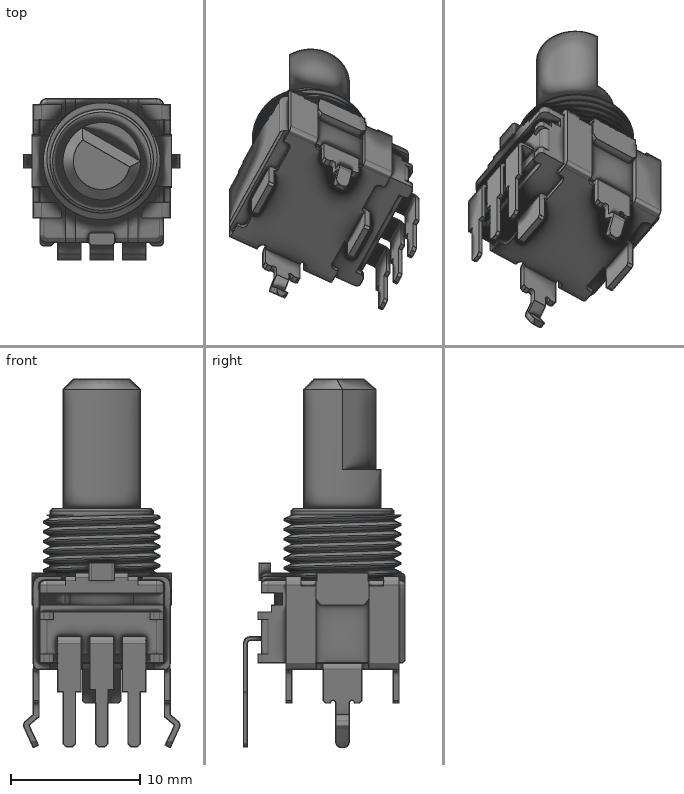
import math
import cadquery as cq


shaft_radius = 3.0
shaft_top = 22.45
shaft_flat_distance = 1.5
shaft_flat_length = 7.0
shaft_flat_angle = 60.0
shaft_chamfer = 0.8

shaft_reach = 10.0
bushing_top = shaft_top - shaft_reach
bushing_radius = 4.0
bushing_chamfer = 0.2
thread_radius = 4.52
thread_pitch = 0.75
thread_crest = 0.12
thread_root = 0.72
thread_embed = 0.1
plain_tip_length = 0.5
thread_top = bushing_top - plain_tip_length
thread_bottom = 7.0
thread_start = 6.52

housing_half_width = 4.78
housing_front = -6.28
housing_back = 4.84
housing_bottom = 0.5
housing_shelf = 4.45
housing_top = 4.98
housing_step_front = -5.5
corner_radius = 0.53
back_chamfer = 0.2
lip_front = -6.55
lip_width = 1.06
lip_depth = 0.8
lip_radius = 0.33
upper_lip_height = 0.6
lower_lip_height = 0.7
recess_depth = 0.5

spacer_radius = 5.25
spacer_flat_x = 2.44
spacer_corner = (-2.85, -4.9)
spacer_side_front = -1.8

cover_bottom = 5.92
cover_outer_top = 6.87
cover_middle_top = 7.2
cover_top = 7.45
cover_inner_half_width = 2.02
cover_middle_half_width = 2.79
cover_edge_radius = 0.33
side_tab_reach = 5.4
side_tab_half_width = 2.05
side_strip_half_width = 1.96
side_tab_bottom = housing_top
side_tab_corner = (0.45, 0.35)

nub_half_width = 1.0
nub_front = -6.47
nub_back = -5.55
nub_top = 8.22
nub_radius = 0.2

frame_half_width = 5.3
frame_half_depth = 4.38
frame_height = 7.2
frame_thickness = 0.46
frame_top_radius = 0.65
frame_bottom_radius = 0.44
frame_opening_half_width = 3.12
frame_window_half_depth = 3.19
frame_window_bottom = 6.44
frame_tab_chamfer = (0.4, 0.6)
relief_depth = 0.7
front_relief_half_width = 4.03
relief_radius = 0.4

leg_bottom = -2.6
leg_root_length = 1.4
leg_half_width = 1.5
leg_chamfer = 0.2
snap_half_width = 0.53
snap_bottom = -6.05
snap_bend_top = -3.5
snap_bend_offset = 0.15
snap_kink_start = (5.89, -4.0)
snap_kink_peak = (6.04, -4.24)
snap_kink_end = (6.0, -4.52)
snap_kink_inner = (5.63, -4.32)
snap_tip_run = 0.4
snap_tip_rise = 0.2
snap_tip_radius = 0.48
leg_notch_radius = 0.2

terminal_spacing = 2.5
terminal_thickness = 0.3
terminal_width = 1.82
terminal_pin_width = 0.96
terminal_top = 2.54
terminal_front = -7.66
terminal_bend_radius = 0.55
terminal_bottom = -6.0
outer_shoulder = -1.73
middle_shoulder = -1.55
terminal_tip_chamfer = 0.25


def block(x0, x1, y0, y1, z0, z1):
    """Axis-aligned box between two opposite corners."""
    return cq.Workplane("XY").box(x1 - x0, y1 - y0, z1 - z0, centered=False).translate((x0, y0, z0))


def both_sides(solid):
    """The solid together with its mirror image across X = 0."""
    return solid.union(solid.mirror("YZ"))


def make_shaft():
    flat_bottom = shaft_top - shaft_flat_length
    base_height = flat_bottom - cover_bottom
    base = cq.Workplane("XY").workplane(offset=cover_bottom).circle(shaft_radius).extrude(base_height)
    d_end = cq.Workplane("XY").workplane(offset=flat_bottom).circle(shaft_radius).extrude(shaft_flat_length)
    removed = block(shaft_flat_distance, shaft_radius, -shaft_radius, shaft_radius, flat_bottom, shaft_top)
    d_end = d_end.cut(removed.rotate((0, 0, 0), (0, 0, 1), shaft_flat_angle))
    d_end = d_end.faces(">Z").chamfer(shaft_chamfer)
    return base.union(d_end)


def make_bushing():
    height = bushing_top - cover_bottom
    core = cq.Workplane("XY").workplane(offset=cover_bottom).circle(bushing_radius).extrude(height)
    core = core.faces(">Z").chamfer(bushing_chamfer)
    helix_height = thread_top + thread_pitch - thread_start
    helix = cq.Wire.makeHelix(thread_pitch, helix_height, bushing_radius)
    ridge = (
        cq.Workplane("XZ")
        .moveTo(bushing_radius - thread_embed, -thread_root / 2)
        .lineTo(thread_radius, -thread_crest / 2)
        .lineTo(thread_radius, thread_crest / 2)
        .lineTo(bushing_radius - thread_embed, thread_root / 2)
        .close()
        .sweep(cq.Workplane(obj=helix), isFrenet=True)
        .translate((0, 0, thread_start))
    )
    reach = 2 * thread_radius
    ridge = ridge.intersect(block(-reach, reach, -reach, reach, thread_bottom, thread_top))
    return core.union(ridge)


def make_housing():
    w = housing_half_width
    body = block(-w, w, housing_front, housing_back, housing_bottom, housing_shelf)
    body = body.edges("<Z and >Y").chamfer(back_chamfer).edges("|Z").fillet(corner_radius)
    step = block(-w, w, housing_step_front, housing_back, housing_shelf, housing_top)
    step = step.edges("|Z and >Y").fillet(corner_radius)
    body = body.union(step)
    lower_lip_top = housing_bottom + lower_lip_height
    inner_x = w - lip_width
    recess_back = housing_front + recess_depth
    body = body.cut(block(-inner_x, inner_x, lip_front, recess_back, housing_bottom, lower_lip_top))
    for top, height in ((housing_shelf, upper_lip_height), (lower_lip_top, lower_lip_height)):
        lip = block(inner_x, w, lip_front, lip_front + lip_depth, top - height, top)
        lip = lip.faces("<Y").edges("|Z").fillet(lip_radius)
        body = body.union(both_sides(lip))
    return body


def make_spacer():
    arc_end = -math.sqrt(spacer_radius**2 - spacer_flat_x**2)
    w = housing_half_width
    return (
        cq.Workplane("XY")
        .workplane(offset=housing_top)
        .moveTo(-w, spacer_side_front)
        .lineTo(*spacer_corner)
        .lineTo(-spacer_flat_x, arc_end)
        .threePointArc((0, -spacer_radius), (spacer_flat_x, arc_end))
        .lineTo(w, arc_end)
        .lineTo(w, housing_back)
        .lineTo(-w, housing_back)
        .close()
        .extrude(cover_bottom - housing_top)
        .edges("|Z and >Y")
        .fillet(corner_radius)
    )


def cover_layer(half_width, top):
    layer = block(-half_width, half_width, housing_front, housing_back, cover_bottom, top)
    return layer.faces(">Z").edges("<Y or >Y").fillet(cover_edge_radius)


def make_cover():
    w = housing_half_width
    base = block(-w, w, housing_front, housing_back, cover_bottom, cover_outer_top)
    base = base.edges("|Z").fillet(corner_radius).faces(">Z").edges().fillet(cover_edge_radius)
    cover = base.union(cover_layer(cover_middle_half_width, cover_middle_top))
    cover = cover.union(cover_layer(cover_inner_half_width, cover_top))
    s = side_strip_half_width
    t = side_tab_half_width
    strip = block(-side_tab_reach, side_tab_reach, -s, s, cover_bottom, cover_top)
    fold = block(w, side_tab_reach, -t, t, side_tab_bottom, cover_outer_top)
    fold = fold.faces("<Z").edges("|X").chamfer(*side_tab_corner)
    return cover.union(strip).union(both_sides(fold))


def make_nub():
    nub = block(-nub_half_width, nub_half_width, nub_front, nub_back, cover_outer_top, nub_top)
    return nub.edges("|Z").fillet(nub_radius)


def make_frame():
    w = frame_half_width
    d = frame_half_depth
    inner = w - frame_thickness
    frame = block(-w, w, -d, d, 0, frame_height)
    frame = frame.edges("|Y and >Z").fillet(frame_top_radius)
    frame = frame.edges("|Y and <Z").fillet(frame_bottom_radius)
    frame = frame.cut(block(-inner, inner, -d, d, frame_thickness, frame_height - frame_thickness))
    o = frame_opening_half_width
    n = frame_window_half_depth
    dx, dy = frame_tab_chamfer
    opening = (
        cq.Workplane("XY")
        .workplane(offset=frame_window_bottom)
        .polyline([(-o, -d), (o, -d), (o, -n - dy), (o + dx, -n), (w, -n), (w, n), (o + dx, n), (o, n + dy),
                   (o, d), (-o, d), (-o, n + dy), (-o - dx, n), (-w, n), (-w, -n), (-o - dx, -n), (-o, -n - dy)])
        .close()
        .extrude(frame_height - frame_window_bottom)
    )
    frame = frame.cut(opening)
    t = side_tab_half_width
    side_slot = block(inner, w, -t, t, 0, frame_height)
    side_relief = block(w - relief_depth, w, -t, t, 0, frame_thickness)
    side_slot = side_slot.union(side_relief.edges("|Z and <X").fillet(relief_radius))
    r = front_relief_half_width
    front_slot = block(-r, r, -d, relief_depth - d, 0, frame_thickness).edges("|Z and >Y").fillet(relief_radius)
    frame = frame.cut(both_sides(side_slot))
    return frame.cut(front_slot.union(front_slot.mirror("XZ")))


def leg_plate(reach):
    """Leg bent down from the bottom plate, its outer face at X = reach."""
    blade = block(reach - frame_thickness, reach, -leg_half_width, leg_half_width, leg_bottom, frame_thickness)
    root = block(reach - leg_root_length, reach, -leg_half_width, leg_half_width, 0, frame_thickness)
    blade = blade.faces("<Z").edges("|X").chamfer(leg_chamfer)
    leg = blade.union(root)
    return leg.faces(">X").edges(">Z").fillet(frame_bottom_radius)


def make_snap_leg():
    """Side leg narrowing to a kinked snap-in tongue with a rounded tip."""
    w = frame_half_width
    t = frame_thickness
    tongue = (
        cq.Workplane("XZ")
        .polyline([(w, leg_bottom + leg_notch_radius), (w, snap_bend_top), snap_kink_start])
        .threePointArc(snap_kink_peak, snap_kink_end)
        .lineTo(w, snap_bottom)
        .lineTo(w - snap_tip_run, snap_bottom + snap_tip_rise)
        .lineTo(*snap_kink_inner)
        .lineTo(w - t, snap_bend_top - snap_bend_offset)
        .lineTo(w - t, leg_bottom + leg_notch_radius)
        .close()
        .extrude(snap_half_width, both=True)
    )
    tip_block = block(0, 2 * w, -snap_half_width, snap_half_width, snap_bottom, 0)
    tongue = tongue.intersect(tip_block.faces("<Z").edges("|X").fillet(snap_tip_radius))
    leg = leg_plate(w)
    for side in (-1, 1):
        y = side * (snap_half_width + leg_notch_radius)
        notch = cq.Workplane("YZ").center(y, leg_bottom).circle(leg_notch_radius).extrude(2 * w)
        leg = leg.cut(notch)
    return leg.union(tongue)


def make_terminal(x, shoulder):
    f = terminal_front
    t = terminal_thickness
    r = terminal_bend_radius
    profile = (
        cq.Workplane("YZ")
        .moveTo(housing_front + t, terminal_top)
        .lineTo(f + r, terminal_top)
        .radiusArc((f, terminal_top - r), -r)
        .lineTo(f, terminal_bottom)
        .lineTo(f + t, terminal_bottom)
        .lineTo(f + t, terminal_top - r)
        .radiusArc((f + r, terminal_top - t), r - t)
        .lineTo(housing_front + t, terminal_top - t)
        .close()
        .extrude(terminal_width / 2, both=True)
    )
    half_pin = terminal_pin_width / 2
    outline = block(-terminal_width / 2, terminal_width / 2, f, 0, shoulder, terminal_top)
    pin = block(-half_pin, half_pin, f, 0, terminal_bottom, shoulder)
    pin = pin.faces("<Z").edges("|Y").chamfer(terminal_tip_chamfer)
    return profile.intersect(outline.union(pin)).translate((x, 0, 0))


result = make_housing().union(make_spacer()).union(make_cover()).union(make_nub())
result = result.union(make_shaft())
result = result.union(make_frame())
result = result.union(both_sides(make_snap_leg()))
for turn in (-90, 90):
    result = result.union(leg_plate(frame_half_depth).rotate((0, 0, 0), (0, 0, 1), turn))
for index, shoulder_height in ((-1, outer_shoulder), (0, middle_shoulder), (1, outer_shoulder)):
    result = result.union(make_terminal(index * terminal_spacing, shoulder_height))
result = result.union(make_bushing())